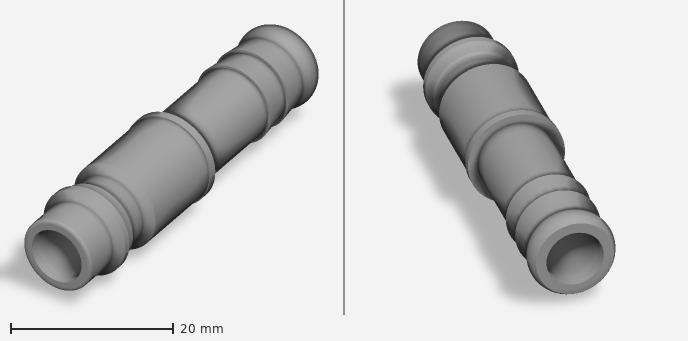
import cadquery as cq
import math

length = 51.0

bore_radius = 3.65
tube_radius = 5.0
barb_radius = 5.45
bulb_radius = 5.6
body_radius = 6.0
flange_diameter = 12.5
flange_radius = flange_diameter / 2

nose_fillet = 0.45
collar_start = 4.95
collar_land = 0.95
cove_length = 1.65
neck_cove_length = 0.9
neck_length = 2.05
cone_length = 1.2
cove_bulge = 0.09

body_length = 11.95
flange_width = 1.1

bulb_width = 3.45
barb_length = 4.0
barb_count = 2

collar_top_start = collar_start + cone_length
collar_top_end = collar_top_start + collar_land
cove_end = collar_top_end + cove_length
neck_start = cove_end + neck_cove_length
neck_end = neck_start + neck_length
body_start = neck_end + cone_length
body_end = body_start + body_length
flange_end = body_end + flange_width
bulb_start = length - bulb_width
barbs_start = bulb_start - barb_count * barb_length


def add_cove(profile, start, end):
    """Draw an arc from start to end that is hollowed toward the axis."""
    step_radius = end[0] - start[0]
    step_axial = end[1] - start[1]
    chord = math.hypot(step_radius, step_axial)
    middle = (
        (start[0] + end[0]) / 2 - cove_bulge * step_axial / chord,
        (start[1] + end[1]) / 2 + cove_bulge * step_radius / chord,
    )
    return profile.threePointArc(middle, end)


def add_plug(profile):
    """Rounded nose, locking collar with two coves, and the neck."""
    profile = (
        profile.lineTo(tube_radius - nose_fillet, 0)
        .radiusArc((tube_radius, nose_fillet), -nose_fillet)
        .lineTo(tube_radius, collar_start)
        .lineTo(body_radius, collar_top_start)
        .lineTo(body_radius, collar_top_end)
    )
    profile = add_cove(profile, (body_radius, collar_top_end), (barb_radius, cove_end))
    profile = add_cove(profile, (barb_radius, cove_end), (tube_radius, neck_start))
    return profile.lineTo(tube_radius, neck_end)


def add_body(profile):
    """Coned body with the stop flange behind it."""
    return (
        profile.lineTo(body_radius, body_start)
        .lineTo(body_radius, body_end)
        .lineTo(flange_radius, body_end)
        .lineTo(flange_radius, flange_end)
        .lineTo(tube_radius, flange_end)
    )


def add_hose_tail(profile):
    """Plain tube, tapered barbs and the rounded end bulb."""
    profile = profile.lineTo(tube_radius, barbs_start)
    for index in range(barb_count):
        barb_start = barbs_start + index * barb_length
        profile = (
            profile.lineTo(barb_radius, barb_start)
            .lineTo(tube_radius, barb_start + barb_length)
        )
    return profile.threePointArc((bulb_radius, bulb_start + bulb_width / 2), (tube_radius, length))


profile = cq.Workplane("XY").moveTo(bore_radius, 0)
profile = add_plug(profile)
profile = add_body(profile)
profile = add_hose_tail(profile)
profile = profile.lineTo(bore_radius, length).close()

result = profile.revolve(360, (0, 0, 0), (0, 1, 0))